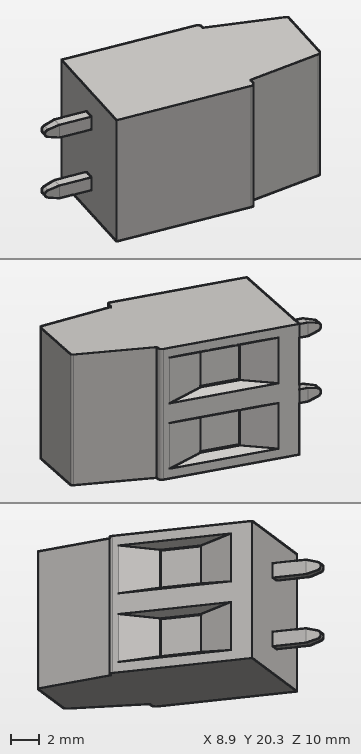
import cadquery as cq

poles = 2
pitch = 10.0 / poles
block_width = 8.9
total_length = 20.3
pin_length = 3.55
block_length = total_length - pin_length
row_height = poles * pitch

shoulder_y = 10.75
nose_top_half_width = 2.68
nose_base_left = 3.95
nose_base_right = 3.71
shoulder_radius = 0.3
nose_left_radius = 0.18
nose_right_radius = 0.3

mouth_start_y = 1.6
mouth_end_y = 9.99
mouth_height = 3.5
throat_start_y = 4.16
throat_end_y = 7.23
throat_height = 2.76
funnel_depth = 0.87
throat_depth = 0.22

pin_width = 0.81
pin_height = 1.05
pin_straight_length = 2.5
tip_width = 0.57
tip_height = 0.6
tip_round_depth = 0.22
pin_embed = 0.4


def make_block():
    half_width = block_width / 2
    outline = [
        (-half_width, 0),
        (half_width, 0),
        (half_width, shoulder_y),
        (nose_base_right, shoulder_y),
        (nose_top_half_width, block_length),
        (-nose_top_half_width, block_length),
        (-nose_base_left, shoulder_y),
        (-half_width, shoulder_y),
    ]
    block = cq.Workplane("XY").polyline(outline).close().extrude(row_height / 2, both=True)

    def round_edge(body, x, y, radius):
        return body.edges(cq.NearestToPointSelector((x, y, 0))).fillet(radius)

    for side in (-1, 1):
        block = round_edge(block, side * half_width, shoulder_y, shoulder_radius)
    block = round_edge(block, -nose_top_half_width, block_length, nose_left_radius)
    return round_edge(block, nose_top_half_width, block_length, nose_right_radius)


def make_funnel(z):
    """Tapered wire entry that ends in a short straight throat."""
    side_x = -block_width / 2
    mouth_y = (mouth_start_y + mouth_end_y) / 2
    throat_y = (throat_start_y + throat_end_y) / 2
    throat_length = throat_end_y - throat_start_y
    taper = (
        cq.Workplane("YZ", origin=(side_x, mouth_y, z))
        .rect(mouth_end_y - mouth_start_y, mouth_height)
        .workplane(offset=funnel_depth)
        .center(throat_y - mouth_y, 0)
        .rect(throat_length, throat_height)
        .loft(ruled=True)
    )
    throat = (
        cq.Workplane("YZ", origin=(side_x + funnel_depth, throat_y, z))
        .rect(throat_length, throat_height)
        .extrude(throat_depth)
    )
    return taper.union(throat)


def make_pin(z):
    """Rectangular pin, tapered on four sides, with its tip rounded about X."""
    tip_start_y = tip_round_depth - pin_length
    side_profile = (
        cq.Workplane("YZ", origin=(0, 0, z))
        .moveTo(pin_embed, pin_height / 2)
        .lineTo(-pin_straight_length, pin_height / 2)
        .lineTo(tip_start_y, tip_height / 2)
        .threePointArc((-pin_length, 0), (tip_start_y, -tip_height / 2))
        .lineTo(-pin_straight_length, -pin_height / 2)
        .lineTo(pin_embed, -pin_height / 2)
        .close()
        .extrude(pin_width / 2, both=True)
    )
    top_outline = [
        (-pin_width / 2, pin_embed),
        (-pin_width / 2, -pin_straight_length),
        (-tip_width / 2, -pin_length),
        (tip_width / 2, -pin_length),
        (pin_width / 2, -pin_straight_length),
        (pin_width / 2, pin_embed),
    ]
    top_profile = (
        cq.Workplane("XY", origin=(0, 0, z))
        .polyline(top_outline)
        .close()
        .extrude(pin_height / 2, both=True)
    )
    return side_profile.intersect(top_profile)


result = make_block()
for pole in range(poles):
    pole_z = (pole - (poles - 1) / 2) * pitch
    result = result.cut(make_funnel(pole_z)).union(make_pin(pole_z))